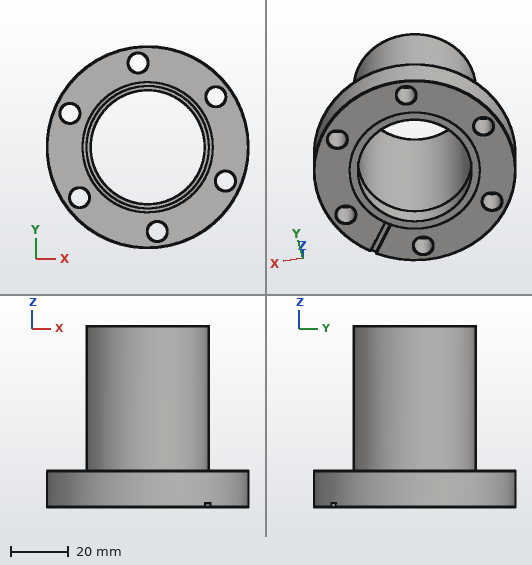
import cadquery as cq
import math

ring_diameter = 69.9
ring_height = 12.7
ring_bore_diameter = 45.1
edge_chamfer = 0.25

bolt_count = 6
bolt_circle_diameter = 58.7
bolt_hole_diameter = 6.7
bolt_start_angle = 96.5
bolt_spacing_angle = 360 / bolt_count

groove_width = 2.2
groove_height = 1.5
groove_angle = bolt_start_angle + 3.5 * bolt_spacing_angle

tube_diameter = 42.4
tube_wall = 1.5
tube_bore_diameter = tube_diameter - 2 * tube_wall
tube_rise_above_ring = 50.0
hub_recess_depth = 5.0
hub_height = ring_height - hub_recess_depth


def make_sleeve(outer_diameter, inner_diameter, bottom, height):
    """Plain hollow cylinder on the Z axis."""
    return (
        cq.Workplane("XY")
        .workplane(offset=bottom)
        .circle(outer_diameter / 2)
        .circle(inner_diameter / 2)
        .extrude(height)
    )


def make_bolt_hole(angle):
    """Cutter for one bolt hole, flared at both faces of the ring."""
    radius = bolt_circle_diameter / 2
    x = radius * math.cos(math.radians(angle))
    y = radius * math.sin(math.radians(angle))
    mouth_diameter = bolt_hole_diameter + 2 * edge_chamfer
    shaft = cq.Workplane("XY").center(x, y).circle(bolt_hole_diameter / 2).extrude(ring_height)
    flare = cq.Workplane("XY").center(x, y).circle(mouth_diameter / 2).extrude(edge_chamfer, taper=45)
    opposite_flare = flare.mirror("XY", (0, 0, ring_height / 2))
    return shaft.union(flare).union(opposite_flare)


def make_leak_groove():
    """Cutter for the radial groove from the ring bore to the rim."""
    inner_radius = ring_bore_diameter / 2 - edge_chamfer
    length = ring_diameter / 2 - inner_radius + edge_chamfer
    return (
        cq.Workplane("XY")
        .center(inner_radius + length / 2, 0)
        .rect(length, groove_width)
        .extrude(groove_height)
        .rotate((0, 0, 0), (0, 0, 1), groove_angle)
    )


def make_ring():
    """Flange ring with chamfered rim, bolt holes and leak-check groove."""
    disc = cq.Workplane("XY").circle(ring_diameter / 2).extrude(ring_height)
    ring = disc.edges("%CIRCLE").chamfer(edge_chamfer)
    bore = cq.Workplane("XY").circle(ring_bore_diameter / 2).extrude(ring_height)
    ring = ring.cut(bore)
    for index in range(bolt_count):
        ring = ring.cut(make_bolt_hole(bolt_start_angle + index * bolt_spacing_angle))
    return ring.cut(make_leak_groove()).solids()


def make_hub():
    """Hub filling the lower part of the ring bore, with the tube's bore."""
    return make_sleeve(ring_bore_diameter, tube_bore_diameter, 0, hub_height)


def make_tube():
    """Straight tube resting on the hub."""
    length = hub_recess_depth + tube_rise_above_ring
    return make_sleeve(tube_diameter, tube_bore_diameter, hub_height, length)


ring = make_ring()
hub = make_hub()
tube = make_tube()

result = cq.Compound.makeCompound([ring.val(), hub.val(), tube.val()])